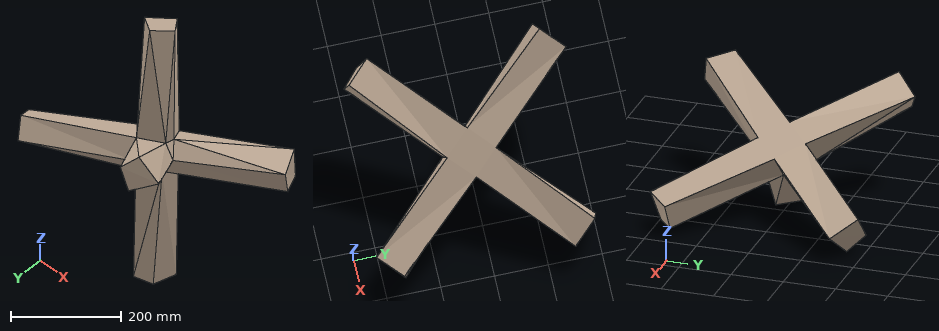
import cadquery as cq


top_west = (-31.0, 1.0, 48.0)
top_north = (10.8, 45.0, 28.5)
top_east = (51.7, -1.0, 9.0)
top_south = (10.8, -46.0, 28.0)

crotch_north = (-11.5, 45.5, -20.5)
crotch_south = (-7.5, -50.5, -11.5)

root_west = (-53.0, 0.5, -2.0)
root_north = (-30.5, 33.0, -22.0)
root_northeast = (-1.5, 34.8, -31.5)
root_east = (16.0, 5.0, -37.0)
root_southeast = (9.0, -31.0, -40.5)
root_south = (-18.5, -40.5, -22.8)

nw_tip = [(-132.5, 207.0, 84.5), (-166.0, 164.8, 114.5), (-193.5, 157.5, 73.5), (-171.5, 187.5, 45.5)]
sw_tip = [(-138.3, -195.5, 101.0), (-150.5, -202.5, 53.5), (-185.5, -172.0, 52.5), (-180.5, -153.0, 106.0)]
ne_tip = [(159.5, 196.0, -37.3), (193.7, 152.5, -67.5), (154.5, 172.0, -107.0), (133.5, 203.0, -78.2)]
se_tip = [(189.0, -164.5, -51.0), (174.5, -159.0, -99.5), (141.0, -187.5, -100.5), (145.0, -207.0, -45.0)]
stub_tip = [(-78.0, 17.0, -85.3), (-72.0, -26.0, -87.5), (-18.0, -21.5, -114.5), (-38.0, 37.0, -104.0)]


def fan(center, *rim):
    """Triangles from one corner to each successive pair of rim corners."""
    return [(center, first, second) for first, second in zip(rim, rim[1:])]


def end_cap(a, b, c, d):
    """Quadrilateral end face split along its a-c diagonal."""
    return fan(a, b, c, d)


def hub_top():
    return fan(top_west, top_south, top_east, top_north)


def northwest_arm():
    a, b, c, d = nw_tip
    return (
        fan(top_west, top_north, a, b, c, root_west)
        + fan(root_north, root_west, c, d, crotch_north)
        + fan(a, top_north, crotch_north, d)
        + end_cap(b, c, d, a)
    )


def southwest_arm():
    a, b, c, d = sw_tip
    return (
        fan(top_south, crotch_south, a, d, top_west)
        + fan(crotch_south, a, b, root_south)
        + fan(root_west, top_west, d, c, root_south)
        + fan(root_south, b, c)
        + end_cap(a, b, c, d)
    )


def northeast_arm():
    a, b, c, d = ne_tip
    return (
        fan(top_north, top_east, b, a, d, crotch_north)
        + fan(root_east, top_east, b, c, d, crotch_north)
        + end_cap(b, c, d, a)
    )


def southeast_arm():
    a, b, c, d = se_tip
    return (
        fan(top_east, top_south, d, a, root_east)
        + fan(crotch_south, top_south, d, c, root_southeast, root_south)
        + fan(b, a, root_east, root_southeast, c)
        + end_cap(a, b, c, d)
    )


def stub():
    a, b, c, d = stub_tip
    return (
        fan(root_west, root_north, a, b, root_south)
        + fan(c, b, root_south, root_southeast, root_east, d)
        + fan(root_northeast, root_east, d, a, root_north, crotch_north, root_east)
        + end_cap(a, b, c, d)
    )


def triangle_face(corners):
    outline = cq.Wire.makePolygon([cq.Vector(*corner) for corner in corners], close=True)
    return cq.Face.makeFromWires(outline)


triangles = hub_top() + northwest_arm() + southwest_arm() + northeast_arm() + southeast_arm() + stub()
skin = cq.Shell.makeShell([triangle_face(corners) for corners in triangles])
result = cq.Workplane(obj=cq.Solid.makeSolid(skin).fix())